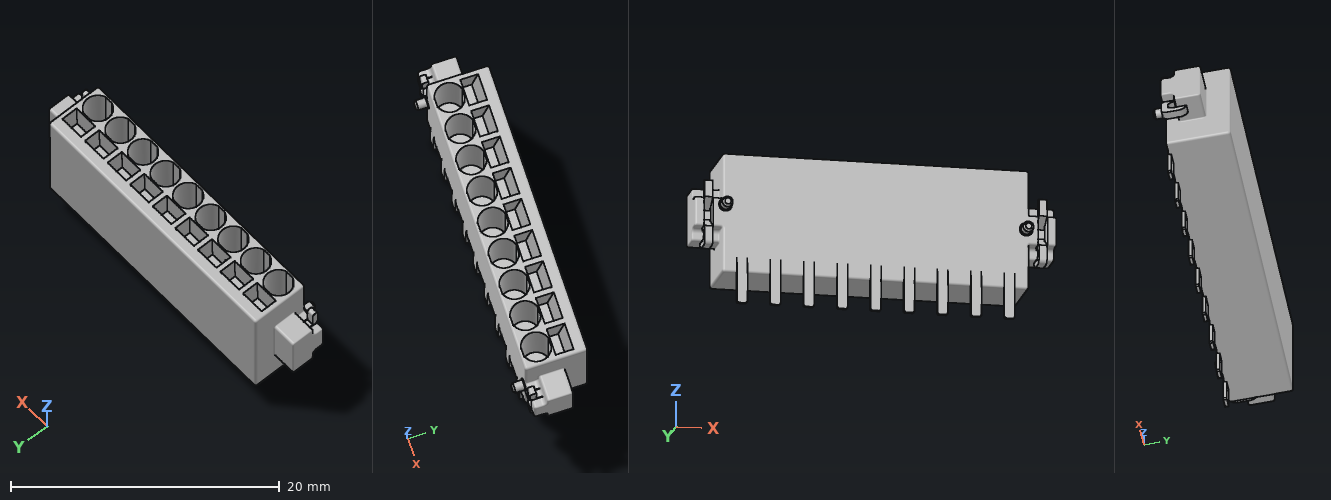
import cadquery as cq

BODY_WIDTH = 23.3
BODY_DEPTH = 4.93
BODY_HEIGHT = 9.2
BODY_FILLET = 0.22
MID_HEIGHT = BODY_HEIGHT / 2

POLES = 9
ROW_SPAN = 20.33
PITCH = ROW_SPAN / (POLES - 1)
POLE_X = [-ROW_SPAN / 2 + i * PITCH for i in range(POLES)]

WIRE_HOLE_DIAMETER = 2.3
WIRE_HOLE_ACROSS_FLATS = 2.18
WIRE_HOLE_Y = 1.35
WIRE_HOLE_DEPTH = 5.5

WINDOW_WIDTH = 2.1
WINDOW_FRONT = 2.53
WINDOW_BACK = 3.95
WINDOW_FLOOR_BACK = 3.42
WINDOW_FLOOR_WIDTH = 1.98
WINDOW_DEPTH = 2.1

PIN_WIDTH = 0.8
PIN_THICKNESS = 0.28
PROUD = 0.05
PIN_TOP = 1.13
PIN_RAMP = 0.4
PIN_BOTTOM = -2.35
PIN_TIP_CHAMFER = 0.1

POST_X = 11.43
LEFT_POST_Z = 5.2
RIGHT_POST_Z = 4.63
POST_DIAMETER = 0.8
POST_LENGTH = 0.96
POST_CHAMFER = 0.17
COLLAR_DIAMETER = 1.0

OVERALL_WIDTH = 27.55
LUG_BACK = 3.09
LUG_STEP = 1.05
HEAD_HALF_HEIGHT = 2.05
NECK_HALF_HEIGHT = 1.13
NECK_LOW = MID_HEIGHT - NECK_HALF_HEIGHT
NECK_HIGH = MID_HEIGHT + NECK_HALF_HEIGHT
LUG_CORNER = 0.22
LUG_INNER_RADIUS = 0.39
LUG_ROOT_FILLET = 0.1
LUG_END_FILLET = 0.15

CLIP_X = 12.7
CLIP_THICKNESS = 0.6
SLOT_WIDTH = 0.72
CLIP_TOP = 7.05
CLIP_BOTTOM = 2.07
CLIP_ARM_BACK = 0.45
CLIP_BACK = 1.9
CLIP_HEEL_RADIUS = 0.7
CLIP_TOE_RADIUS = 0.39
CLIP_TOP_RADIUS = 0.2
NOTCH_FLOOR_HALF = 0.35
NOTCH_DEPTH = LUG_STEP
EYE_BOTTOM = 2.53
EYE_RADIUS = 0.4


def block(x_min, x_max, y_min, y_max, z_min, z_max):
    size = (x_max - x_min, y_max - y_min, z_max - z_min)
    return cq.Workplane("XY").box(*size, centered=False).translate((x_min, y_min, z_min))


def side_profile(points, x_center, thickness):
    """Plate across X whose outline is given as (y, z) points."""
    outline = cq.Workplane("YZ", origin=(x_center - thickness / 2, 0, 0)).polyline(points).close()
    return outline.extrude(thickness)


def make_lug():
    """Right-hand lug, still without the fillets that depend on the housing."""
    root_x = BODY_WIDTH / 2 - BODY_FILLET
    end_x = OVERALL_WIDTH / 2
    head_low = MID_HEIGHT - HEAD_HALF_HEIGHT
    head_high = MID_HEIGHT + HEAD_HALF_HEIGHT
    outline = [
        (0, NECK_LOW),
        (LUG_STEP, NECK_LOW),
        (LUG_STEP, head_low),
        (LUG_BACK, head_low),
        (LUG_BACK, head_high),
        (LUG_STEP, head_high),
        (LUG_STEP, NECK_HIGH),
        (0, NECK_HIGH),
    ]
    lug = side_profile(outline, (root_x + end_x) / 2, end_x - root_x)
    inner_corners = cq.selectors.BoxSelector(
        (root_x, LUG_STEP / 2, NECK_LOW - LUG_CORNER), (end_x, LUG_BACK, NECK_HIGH + LUG_CORNER)
    )
    lug = lug.edges("|X").edges(inner_corners).fillet(LUG_INNER_RADIUS)
    for side in (">Z", "<Z"):
        lug = lug.faces(side).edges("|X").fillet(LUG_CORNER)
    return lug


def near_root(side_x):
    """Selects the edges where a lug meets the housing side at side_x, except on the front face."""
    reach = 0.03
    low_corner = (side_x - reach, reach, MID_HEIGHT - HEAD_HALF_HEIGHT - reach)
    high_corner = (side_x + reach, LUG_BACK + reach, MID_HEIGHT + HEAD_HALF_HEIGHT + reach)
    return cq.selectors.BoxSelector(low_corner, high_corner)


def make_shell():
    """Solid housing with both lugs and all outer edges rounded."""
    half = BODY_WIDTH / 2
    lug = make_lug()
    shell = block(-half, half, 0, BODY_DEPTH, 0, BODY_HEIGHT).union(lug).union(lug.mirror("YZ"))
    for side_x in (-half, half):
        shell = shell.edges(near_root(side_x)).fillet(LUG_ROOT_FILLET)
    shell = shell.faces("<Y or >Y or <Z or >Z").edges().fillet(BODY_FILLET)
    shell = shell.faces("<X or >X").edges().fillet(LUG_END_FILLET)
    return shell


def make_wire_holes():
    top = cq.Workplane("XY", origin=(0, WIRE_HOLE_Y, BODY_HEIGHT)).pushPoints([(x, 0) for x in POLE_X])
    holes = top.circle(WIRE_HOLE_DIAMETER / 2).extrude(-WIRE_HOLE_DEPTH)
    flats = top.rect(WIRE_HOLE_DIAMETER, WIRE_HOLE_ACROSS_FLATS).extrude(-WIRE_HOLE_DEPTH)
    return holes.intersect(flats)


def make_window(x):
    """Release window with an upright front wall; the other walls close in towards the floor."""
    mouth_length = WINDOW_BACK - WINDOW_FRONT
    floor_length = WINDOW_FLOOR_BACK - WINDOW_FRONT
    mouth = cq.Workplane("XY", origin=(x, WINDOW_FRONT + mouth_length / 2, BODY_HEIGHT))
    floor = mouth.rect(WINDOW_WIDTH, mouth_length).workplane(offset=-WINDOW_DEPTH)
    floor = floor.center(0, (floor_length - mouth_length) / 2)
    return floor.rect(WINDOW_FLOOR_WIDTH, floor_length).loft()


def make_pin(x):
    back = PIN_THICKNESS - PROUD
    outline = [
        (back, PIN_BOTTOM),
        (-PROUD, PIN_BOTTOM),
        (-PROUD, PIN_TOP - PIN_RAMP),
        (0, PIN_TOP),
        (back, PIN_TOP),
    ]
    pin = side_profile(outline, x, PIN_WIDTH)
    return pin.faces("<Z").edges("|Y").chamfer(PIN_TIP_CHAMFER)


def make_post(x, z):
    root = cq.Workplane("XZ", origin=(x, BODY_FILLET, z))
    post = root.circle(POST_DIAMETER / 2).extrude(BODY_FILLET + POST_LENGTH)
    collar = root.circle(COLLAR_DIAMETER / 2).extrude(BODY_FILLET + PROUD)
    return post.faces("<Y").chamfer(POST_CHAMFER).union(collar)


def make_clip():
    """Right-hand clip: upright arm, V-shaped notch in front and a hooked foot with an eye."""
    outline = [
        (-PROUD, CLIP_BOTTOM),
        (CLIP_BACK, CLIP_BOTTOM),
        (CLIP_BACK, NECK_HIGH),
        (CLIP_ARM_BACK, NECK_HIGH),
        (CLIP_ARM_BACK, CLIP_TOP),
        (-PROUD, CLIP_TOP),
        (-PROUD, NECK_HIGH),
        (NOTCH_DEPTH, MID_HEIGHT + NOTCH_FLOOR_HALF),
        (NOTCH_DEPTH, MID_HEIGHT - NOTCH_FLOOR_HALF),
        (-PROUD, NECK_LOW),
    ]
    clip = side_profile(outline, CLIP_X, CLIP_THICKNESS)
    clip = clip.faces("<Z").edges(">Y").fillet(CLIP_HEEL_RADIUS)
    clip = clip.faces("<Z").edges("<Y").fillet(CLIP_TOE_RADIUS)
    clip = clip.faces(">Z").edges("|X").fillet(CLIP_TOP_RADIUS)
    eye_y = CLIP_ARM_BACK + EYE_RADIUS
    eye_z = EYE_BOTTOM + EYE_RADIUS
    eye = cq.Workplane("YZ").center(eye_y, eye_z).circle(EYE_RADIUS).extrude(OVERALL_WIDTH)
    return clip.cut(eye)


result = make_shell().cut(make_wire_holes())
for x in POLE_X:
    result = result.cut(make_window(x))
    result = result.union(make_pin(x))

slot_half = SLOT_WIDTH / 2
slot = block(CLIP_X - slot_half, CLIP_X + slot_half, 0, LUG_STEP, NECK_LOW, NECK_HIGH)
clip = make_clip()
result = result.cut(slot).cut(slot.mirror("YZ"))
result = result.union(clip).union(clip.mirror("YZ"))

result = result.union(make_post(-POST_X, LEFT_POST_Z)).union(make_post(POST_X, RIGHT_POST_Z))